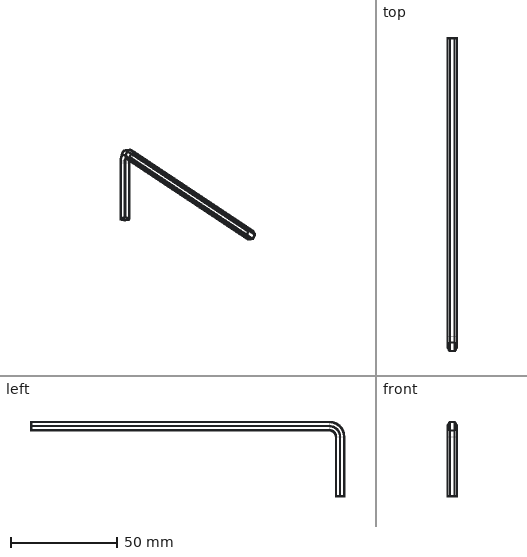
import cadquery as cq
import math

long_arm = 147.0
short_arm = 35.0
across_flats = 4.0
bend_radius = 5.0

across_corners = across_flats / math.cos(math.pi / 6)
half_flats = across_flats / 2

short_arm_y = half_flats
long_arm_z = short_arm - half_flats
bend_y = short_arm_y + bend_radius
bend_z = long_arm_z - bend_radius
bend_offset = bend_radius * math.sin(math.pi / 4)

centre_line = (
    cq.Workplane("YZ")
    .moveTo(short_arm_y, 0)
    .lineTo(short_arm_y, bend_z)
    .threePointArc((bend_y - bend_offset, bend_z + bend_offset), (bend_y, long_arm_z))
    .lineTo(long_arm, long_arm_z)
)

result = (
    cq.Workplane("XY", origin=(0, short_arm_y, 0))
    .polygon(6, across_corners)
    .sweep(centre_line)
)